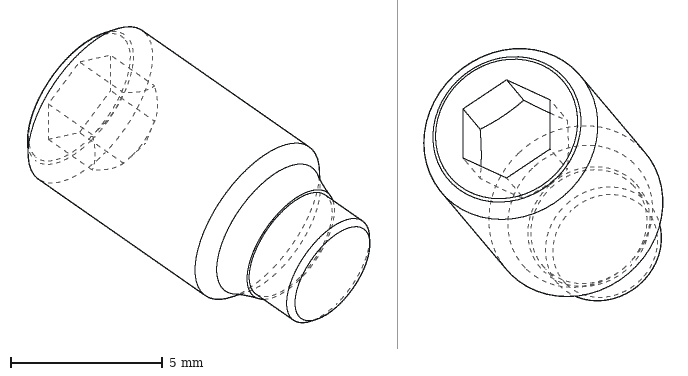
import cadquery as cq
import math

length = 11.5
body_radius = 3.0

end_face_radius = 2.45
ring_radius = 2.55
ring_depth = 0.05
chamfer_end = ring_depth + body_radius - ring_radius

shoulder_start = 8.08
shoulder_size = 0.51
shoulder_end = shoulder_start + shoulder_size
shoulder_radius = body_radius - shoulder_size
neck_end = 9.6
neck_radius = 2.1
neck_sag = 0.029
dog_radius = 2.0
dog_chamfer = 0.2

socket_across_flats = 3.0
socket_depth = 2.0
floor_half_angle = 60.0
socket_corner_radius = socket_across_flats / math.sqrt(3)
floor_height = socket_corner_radius / math.tan(math.radians(floor_half_angle))


def neck_midpoint():
    """Middle of the neck arc, offset from its chord toward the axis."""
    run = neck_end - shoulder_end
    drop = shoulder_radius - neck_radius
    chord = math.hypot(run, drop)
    x = (shoulder_end + neck_end) / 2 - neck_sag * drop / chord
    radius = (shoulder_radius + neck_radius) / 2 - neck_sag * run / chord
    return x, radius


def make_body():
    """Half profile revolved about the X axis."""
    return (
        cq.Workplane("XY")
        .lineTo(0, end_face_radius)
        .lineTo(ring_depth, ring_radius)
        .lineTo(chamfer_end, body_radius)
        .lineTo(shoulder_start, body_radius)
        .lineTo(shoulder_end, shoulder_radius)
        .threePointArc(neck_midpoint(), (neck_end, neck_radius))
        .lineTo(neck_end, dog_radius)
        .lineTo(length - dog_chamfer, dog_radius)
        .lineTo(length, dog_radius - dog_chamfer)
        .lineTo(length, 0)
        .close()
        .revolve(360, (0, 0, 0), (1, 0, 0))
    )


def make_socket():
    """Hexagonal prism, corners up and down, trimmed to a conical floor."""
    hexagon = (
        cq.Workplane("YZ")
        .transformed(rotate=(0, 0, 90))
        .polygon(6, 2 * socket_corner_radius)
        .extrude(socket_depth + floor_height)
    )
    pointed_drill = (
        cq.Workplane("XY")
        .lineTo(0, socket_corner_radius)
        .lineTo(socket_depth, socket_corner_radius)
        .lineTo(socket_depth + floor_height, 0)
        .close()
        .revolve(360, (0, 0, 0), (1, 0, 0))
    )
    return hexagon.intersect(pointed_drill)


result = make_body().cut(make_socket())